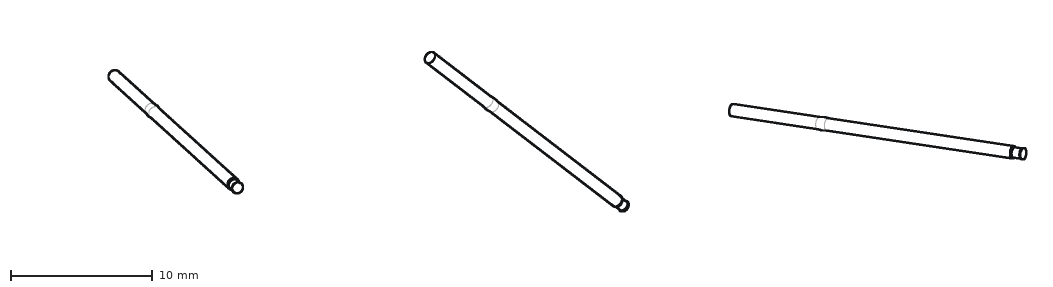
import cadquery as cq

length = 24.18
body_radius = 0.9 / 2

band_start = 7.2
band_width = 0.72
band_radius = 0.99 / 2

tip_length = 0.85
neck_radius = 0.76 / 2
flare_radius = 0.84 / 2
flare_length = 0.11

band_middle = band_start + band_width / 2
band_end = band_start + band_width
body_end = length - tip_length
neck_start = body_end + flare_length
neck_end = length - flare_length


def half_profile():
    """Closed outline of the pin from the axis out to its surface."""
    return (
        cq.Workplane("XZ")
        .moveTo(0, 0)
        .lineTo(0, body_radius)
        .lineTo(band_start, body_radius)
        .threePointArc((band_middle, band_radius), (band_end, body_radius))
        .lineTo(body_end, body_radius)
        .lineTo(body_end, flare_radius)
        .lineTo(neck_start, neck_radius)
        .lineTo(neck_end, neck_radius)
        .lineTo(length, flare_radius)
        .lineTo(length, 0)
        .close()
    )


axis_start = (0, 0)
axis_end = (length, 0)
result = half_profile().revolve(360, axis_start, axis_end)